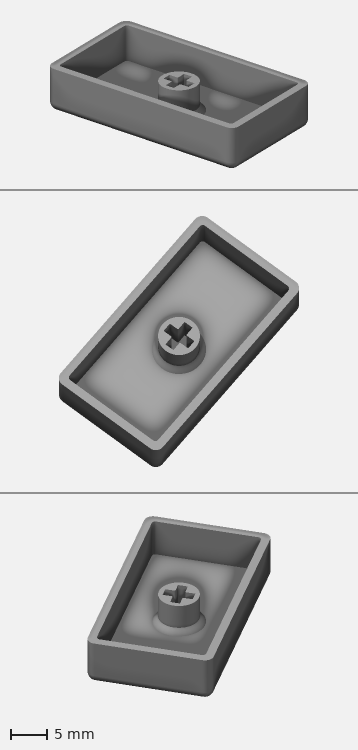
import cadquery as cq

shell_length = 32.34
shell_width = 18.06
shell_height = 6.7
shell_angle = -0.62
edge_radius = 1.25
wall_thickness = 1.2
floor_thickness = 1.2
pocket_corner_radius = 0.5

stem_diameter = 5.8
stem_height = 4.5
flare_size = 0.85

cross_span = 4.3
cross_arm_width = 1.4
cross_inner_corner_radius = 0.15


def make_shell():
    """Tray with rounded corners and a rounded underside."""
    body = (
        cq.Workplane("XY")
        .rect(shell_length, shell_width)
        .extrude(shell_height)
        .edges("|Z or <Z")
        .fillet(edge_radius)
    )
    pocket = (
        cq.Workplane("XY")
        .workplane(offset=floor_thickness)
        .rect(shell_length - 2 * wall_thickness, shell_width - 2 * wall_thickness)
        .extrude(shell_height - floor_thickness)
        .edges("|Z")
        .fillet(pocket_corner_radius)
    )
    return body.cut(pocket).rotate((0, 0, 0), (0, 0, 1), shell_angle)


def make_stem():
    """Round post with a 45 degree flare where it meets the floor."""
    stem_radius = stem_diameter / 2
    foot_radius = stem_radius + flare_size
    flare_top = floor_thickness + flare_size
    stem_top = floor_thickness + stem_height
    foot_bottom = floor_thickness / 2
    profile = [
        (0, foot_bottom),
        (foot_radius, foot_bottom),
        (foot_radius, floor_thickness),
        (stem_radius, flare_top),
        (stem_radius, stem_top),
        (0, stem_top),
    ]
    return cq.Workplane("XZ").polyline(profile).close().revolve(360, (0, 0, 0), (0, 1, 0))


def make_cross_socket():
    """Plus-shaped socket volume with its four inner corners eased."""
    base = cq.Workplane("XY").workplane(offset=floor_thickness)
    arm_along_x = base.rect(cross_span, cross_arm_width).extrude(stem_height)
    arm_along_y = base.rect(cross_arm_width, cross_span).extrude(stem_height)
    inner_corners = cq.selectors.BoxSelector(
        (-cross_arm_width, -cross_arm_width, 0),
        (cross_arm_width, cross_arm_width, shell_height),
    )
    cross = arm_along_x.union(arm_along_y)
    return cross.edges("|Z").edges(inner_corners).fillet(cross_inner_corner_radius)


result = make_shell().union(make_stem()).cut(make_cross_socket())